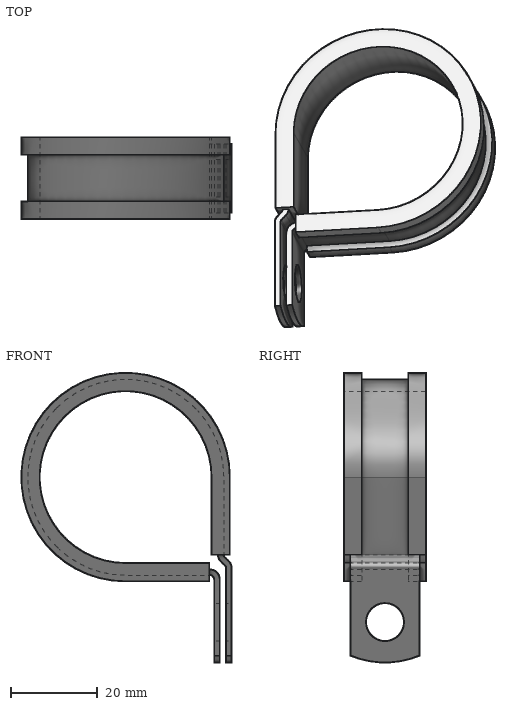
import cadquery as cq
import math

outer_radius = 24.1
liner_thickness = 4.3
liner_width = 18.9
vertical_leg = 17.9
horizontal_leg = 19.3
groove_width = 10.7

strap_thickness = 1.35
strap_width = 15.9
groove_depth = 1.5
inner_bend_radius = 1.7
jog_bend_radius = 1.35
jog_angle = math.radians(45)

inner_tab_x = 21.1
outer_tab_x = 23.8
tab_bottom = -42.8
tab_end_rise = 1.6
hole_diameter = 8.7
hole_z = -33.45

strap_radius = outer_radius - groove_depth - strap_thickness / 2


def loop_band(inner_r, outer_r, width):
    """Three-quarter ring with a leg going down and a leg going right, centred on Y."""
    diagonal = math.sqrt(0.5)
    return (
        cq.Workplane("XZ")
        .moveTo(outer_r, -vertical_leg)
        .lineTo(outer_r, 0)
        .threePointArc((-outer_r * diagonal, outer_r * diagonal), (0, -outer_r))
        .lineTo(horizontal_leg, -outer_r)
        .lineTo(horizontal_leg, -inner_r)
        .lineTo(0, -inner_r)
        .threePointArc((-inner_r * diagonal, inner_r * diagonal), (inner_r, 0))
        .lineTo(inner_r, -vertical_leg)
        .close()
        .extrude(width / 2, both=True)
    )


def sweep_strap(path, start_x):
    """Sweep the strap section along a path that starts at a tab's lower end."""
    section = cq.Workplane("XY", origin=(start_x, 0, tab_bottom)).rect(strap_thickness, strap_width)
    return section.sweep(path)


def inner_tab():
    """Tab that bends down from the end of the horizontal leg."""
    bend_x = inner_tab_x - inner_bend_radius
    bend_z = -strap_radius - inner_bend_radius
    path = (
        cq.Workplane("XZ")
        .moveTo(inner_tab_x, tab_bottom)
        .lineTo(inner_tab_x, bend_z)
        .tangentArcPoint((bend_x, -strap_radius), relative=False)
        .lineTo(0, -strap_radius)
    )
    return sweep_strap(path, inner_tab_x)


def outer_tab():
    """Tab that jogs outward just below the vertical leg."""
    arc_shift = jog_bend_radius * (1 - math.cos(jog_angle))
    arc_drop = jog_bend_radius * math.sin(jog_angle)
    slope_shift = outer_tab_x - strap_radius - 2 * arc_shift
    slope_drop = slope_shift / math.tan(jog_angle)
    jog_bottom = -vertical_leg - 2 * arc_drop - slope_drop
    path = (
        cq.Workplane("XZ")
        .moveTo(outer_tab_x, tab_bottom)
        .lineTo(outer_tab_x, jog_bottom)
        .tangentArcPoint((outer_tab_x - arc_shift, jog_bottom + arc_drop), relative=False)
        .lineTo(strap_radius + arc_shift, -vertical_leg - arc_drop)
        .tangentArcPoint((strap_radius, -vertical_leg), relative=False)
        .lineTo(strap_radius, 0)
    )
    return sweep_strap(path, outer_tab_x)


def tab_outline():
    """Block whose rounded lower end shapes both tabs."""
    half_width = strap_width / 2
    corner_z = tab_bottom + tab_end_rise
    return (
        cq.Workplane("YZ")
        .moveTo(-half_width, 0)
        .lineTo(-half_width, corner_z)
        .threePointArc((0, tab_bottom), (half_width, corner_z))
        .lineTo(half_width, 0)
        .close()
        .extrude(outer_tab_x + strap_thickness)
    )


liner = loop_band(outer_radius - liner_thickness, outer_radius, liner_width)
groove = loop_band(outer_radius - groove_depth, outer_radius, groove_width)
tabs = inner_tab().union(outer_tab()).intersect(tab_outline())
bolt_hole = (
    cq.Workplane("YZ")
    .center(0, hole_z)
    .circle(hole_diameter / 2)
    .extrude(outer_tab_x + strap_thickness)
)

result = liner.cut(groove).union(tabs).cut(bolt_hole)